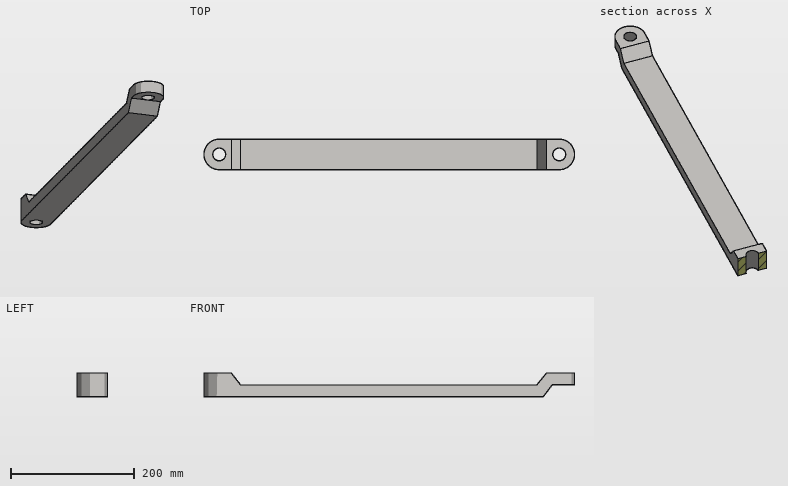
import cadquery as cq

length = 600.0
width = 50.0
height = 39.0

bar_thickness = 20.0
lug_thickness = 19.0
hole_diameter = 20.5
end_radius = width / 2

left_boss_top_end = 44.5
left_slope_end = 59.5
right_slope_top_start = 539.0
right_lug_top_start = 554.5
right_slope_bottom_start = 549.0
right_lug_bottom_start = 564.0

profile = [
    (0, 0),
    (right_slope_bottom_start, 0),
    (right_lug_bottom_start, height - lug_thickness),
    (length, height - lug_thickness),
    (length, height),
    (right_lug_top_start, height),
    (right_slope_top_start, bar_thickness),
    (left_slope_end, bar_thickness),
    (left_boss_top_end, height),
    (0, height),
]
strap = cq.Workplane("XZ").polyline(profile).close().extrude(width / 2, both=True)

plan_outline = cq.Workplane("XY").center(length / 2, 0).slot2D(length, width).extrude(height)
strap = strap.intersect(plan_outline)

hole_centers = [(end_radius, 0), (length - end_radius, 0)]
holes = cq.Workplane("XY").pushPoints(hole_centers).circle(hole_diameter / 2).extrude(height)

result = strap.cut(holes)